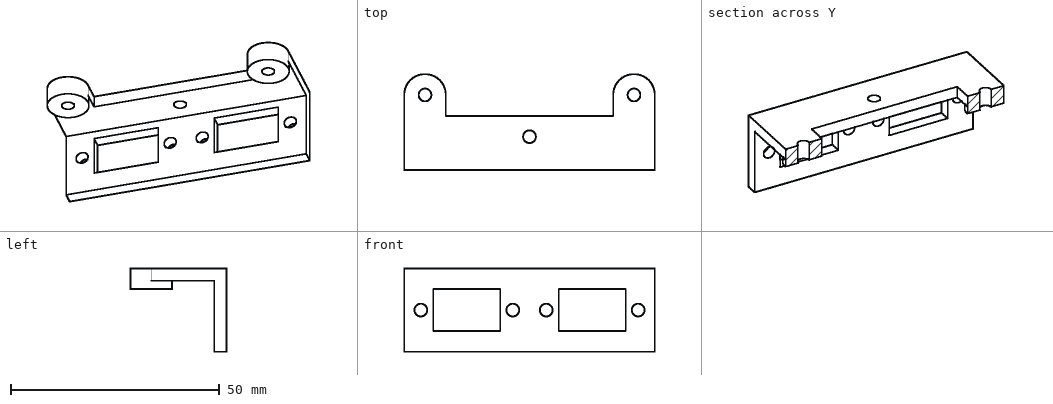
import cadquery as cq

LENGTH = 60.0
HEIGHT = 20.0
WALL = 3.0
SHELF_DEPTH = 13.0

EAR_RADIUS = 5.0
EAR_CENTER_Y = SHELF_DEPTH + EAR_RADIUS
EAR_CENTERS_X = (EAR_RADIUS, LENGTH - EAR_RADIUS)
BOSS_HEIGHT = 5.0

HOLE_DIAMETER = 3.0
SHELF_HOLE_Y = 8.0

WINDOW_WIDTH = 16.0
WINDOW_HEIGHT = 10.0
WINDOW_CENTERS_X = (LENGTH / 4, LENGTH * 3 / 4)
WINDOW_HOLE_SPACING = 22.0


def box(x, y, z, dx, dy, dz):
    """Box with its minimum corner at (x, y, z)."""
    return cq.Workplane("XY").box(dx, dy, dz, centered=False).translate((x, y, z))


def cylinder_below_top(x, y, diameter, depth):
    """Vertical cylinder hanging down from the top face."""
    return cq.Workplane("XY", origin=(x, y, HEIGHT)).circle(diameter / 2).extrude(-depth)


def angle_body():
    """Upright front wall joined to the horizontal shelf."""
    front_wall = box(0, 0, 0, LENGTH, WALL, HEIGHT)
    shelf = box(0, 0, HEIGHT - WALL, LENGTH, SHELF_DEPTH, WALL)
    return front_wall.union(shelf)


def ear(center_x):
    """Straight neck from the shelf to a round boss."""
    neck = box(center_x - EAR_RADIUS, SHELF_DEPTH, HEIGHT - WALL, 2 * EAR_RADIUS, EAR_RADIUS, WALL)
    boss = cylinder_below_top(center_x, EAR_CENTER_Y, 2 * EAR_RADIUS, BOSS_HEIGHT)
    return neck.union(boss)


def window_cutter(center_x):
    """Window and its two flanking screw holes, through the front wall."""
    front = cq.Workplane("XZ", origin=(center_x, 0, HEIGHT / 2))
    window = front.rect(WINDOW_WIDTH, WINDOW_HEIGHT).extrude(-WALL)
    hole_offset = WINDOW_HOLE_SPACING / 2
    holes = front.pushPoints([(-hole_offset, 0), (hole_offset, 0)]).circle(HOLE_DIAMETER / 2).extrude(-WALL)
    return window.union(holes)


result = angle_body()

for ear_x in EAR_CENTERS_X:
    result = result.union(ear(ear_x))
    result = result.cut(cylinder_below_top(ear_x, EAR_CENTER_Y, HOLE_DIAMETER, BOSS_HEIGHT))

result = result.cut(cylinder_below_top(LENGTH / 2, SHELF_HOLE_Y, HOLE_DIAMETER, WALL))

for window_x in WINDOW_CENTERS_X:
    result = result.cut(window_cutter(window_x))